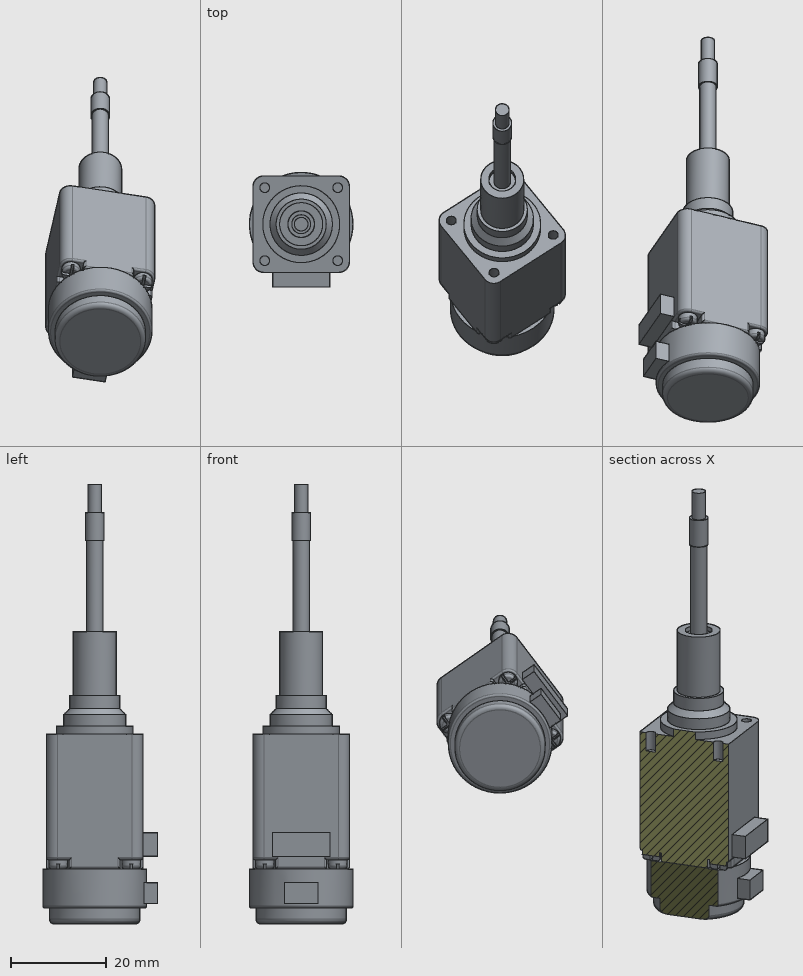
import cadquery as cq

ring_bottom = 3.3
ring_top = 11.45
pocket_top = 13.4
motor_top = 39.6
pilot_top = 41.2
hub_top = 44.9
collar_top = 47.6
sleeve_top = 60.9
bush_bottom = 79.9
bush_top = 85.75
shaft_top = 91.6

motor_side = 20.2
motor_corner_radius = 2.3
motor_edge_radius = 0.5
outer_edge_band = 0.9
bolt_spacing = 15.2
bolt_hole_diameter = 2.0
bolt_hole_depth = 2 * bolt_hole_diameter

pocket_radius = 2.3
screw_head_diameter = 3.9
screw_head_edge_radius = 0.6
screw_slot_width = 0.55
screw_slot_depth = 1.0

pilot_diameter = 16.0
hub_diameter = 13.0
collar_diameter = 10.4
sleeve_diameter = 9.0
bore_diameter = 5.6

shaft_root_diameter = 5.5
shaft_root_recess = 0.9
shaft_root_top = sleeve_top - shaft_root_recess
shaft_diameter = 3.5
bush_diameter = 3.9
shaft_tip_diameter = 2.8

ring_diameter = 21.6
ring_edge_radius = 0.5
cap_diameter = 18.9
cap_edge_radius = 1.0

connector_front = -13.1
motor_plug_width = 11.9
motor_plug_bottom = 14.1
motor_plug_top = 19.1
encoder_plug_width = 7.0
encoder_plug_bottom = 4.2
encoder_plug_top = 8.6

half_side = motor_side / 2
bolt_offset = bolt_spacing / 2
corner_signs = [(-1, -1), (1, -1), (1, 1), (-1, 1)]
bolt_points = [(sx * bolt_offset, sy * bolt_offset) for sx, sy in corner_signs]


def cylinder(diameter, bottom, top):
    """Solid cylinder on the Z axis between two heights."""
    return cq.Workplane("XY").workplane(offset=bottom).circle(diameter / 2).extrude(top - bottom)


def plug(width, bottom, top, back):
    """Connector block that reaches from y = back out to the common front plane."""
    return cq.Workplane("XY", origin=(0, connector_front, bottom)).box(
        width, back - connector_front, top - bottom, centered=(True, False, False)
    )


def corner_pocket(sign_x, sign_y):
    """Cutter for one corner: round about the bolt axis and open to both outer sides."""
    pocket_side = 2 * (half_side - bolt_offset + pocket_radius)
    inner_x = sign_x * (bolt_offset - pocket_radius)
    inner_y = sign_y * (bolt_offset - pocket_radius)
    return (
        cq.Workplane("XY", origin=(half_side * sign_x, half_side * sign_y, ring_top))
        .rect(pocket_side, pocket_side)
        .extrude(pocket_top - ring_top)
        .edges(cq.selectors.NearestToPointSelector((inner_x, inner_y, (ring_top + pocket_top) / 2)))
        .fillet(pocket_radius)
    )


def screw_head(x, y):
    """Rounded screw head hanging from the pocket ceiling, with a cross slot from below."""
    head = (
        cq.Workplane("XY", origin=(x, y, ring_top))
        .circle(screw_head_diameter / 2)
        .extrude(pocket_top - ring_top)
        .faces("<Z")
        .edges()
        .fillet(screw_head_edge_radius)
    )
    for length, width in (
        (screw_head_diameter, screw_slot_width),
        (screw_slot_width, screw_head_diameter),
    ):
        slot = cq.Workplane("XY", origin=(x, y, ring_top)).rect(length, width)
        head = head.cut(slot.extrude(screw_slot_depth))
    return head


def is_lower_outer_edge(edge):
    """True for edges on the outer sides of the housing, from its bottom up to the pocket ceilings."""
    middle = edge.positionAt(0.5)
    reach = max(abs(middle.x), abs(middle.y))
    return middle.z < pocket_top + outer_edge_band / 2 and reach > half_side - outer_edge_band


def make_motor_block():
    """Square block with rounded corners, corner pockets and rounded lower outer edges."""
    block = (
        cq.Workplane("XY", origin=(0, 0, ring_top))
        .rect(motor_side, motor_side)
        .extrude(motor_top - ring_top)
        .edges("|Z")
        .fillet(motor_corner_radius)
    )
    for sign_x, sign_y in corner_signs:
        block = block.cut(corner_pocket(sign_x, sign_y))
    lower_outer_edges = [edge for edge in block.edges().vals() if is_lower_outer_edge(edge)]
    return block.newObject(lower_outer_edges).fillet(motor_edge_radius)


def make_neck():
    """Pilot, chamfered hub, collar and sleeve stacked on top of the motor block."""
    pilot = cylinder(pilot_diameter, motor_top, pilot_top)
    hub = cylinder(hub_diameter, pilot_top, hub_top)
    hub = hub.faces(">Z").chamfer((hub_diameter - collar_diameter) / 2)
    collar = cylinder(collar_diameter, hub_top, collar_top)
    sleeve = cylinder(sleeve_diameter, collar_top, sleeve_top)
    return pilot.union(hub).union(collar).union(sleeve)


def make_housing():
    """Motor housing with its neck, connector block, screw heads, bolt holes and shaft bore."""
    housing = make_motor_block().union(make_neck())
    housing = housing.union(plug(motor_plug_width, motor_plug_bottom, motor_plug_top, -half_side))
    for x, y in bolt_points:
        housing = housing.union(screw_head(x, y))
    bolt_holes = (
        cq.Workplane("XY", origin=(0, 0, motor_top - bolt_hole_depth))
        .pushPoints(bolt_points)
        .circle(bolt_hole_diameter / 2)
        .extrude(bolt_hole_depth)
    )
    return housing.cut(bolt_holes).cut(cylinder(bore_diameter, motor_top, sleeve_top))


def make_shaft():
    """Stepped shaft that stands in the bore of the neck, its root filling the bore loosely."""
    return (
        cylinder(shaft_root_diameter, motor_top, shaft_root_top)
        .union(cylinder(shaft_diameter, shaft_root_top, bush_bottom))
        .union(cylinder(bush_diameter, bush_bottom, bush_top))
        .union(cylinder(shaft_tip_diameter, bush_top, shaft_top))
    )


def make_encoder():
    """Round encoder: ring, smaller end cap and a connector block."""
    ring = cylinder(ring_diameter, ring_bottom, ring_top).faces("<Z").edges().fillet(ring_edge_radius)
    cap = cylinder(cap_diameter, 0, ring_bottom).faces("<Z").edges().fillet(cap_edge_radius)
    encoder_plug = plug(encoder_plug_width, encoder_plug_bottom, encoder_plug_top, 0)
    return ring.union(cap).union(encoder_plug)


housing = make_housing()
shaft = make_shaft()
encoder = make_encoder()

result = cq.Compound.makeCompound([body.solids().val() for body in (housing, shaft, encoder)])